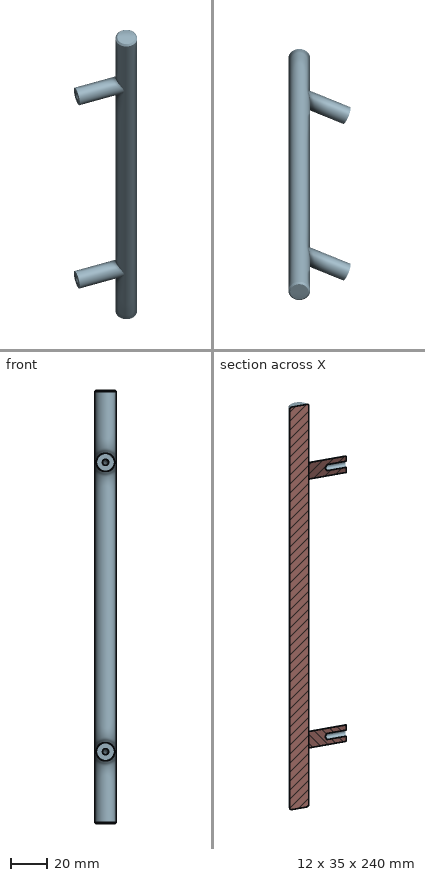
import cadquery as cq
import math

bar_length = 240.0
bar_diameter = 12.0
bar_end_chamfer = 1.0

post_diameter = 10.0
post_spacing = 160.0
overall_depth = 35.0
post_reach = overall_depth - bar_diameter / 2

screw_hole_diameter = 3.4
screw_hole_depth = 12.0
drill_point_angle = 118.0


def make_bar():
    """Round bar along Z, centred on the origin, chamfered at both ends."""
    bottom = cq.Workplane("XY", origin=(0, 0, -bar_length / 2))
    bar = bottom.circle(bar_diameter / 2).extrude(bar_length)
    return bar.faces("<Z or >Z").chamfer(bar_end_chamfer)


def make_screw_hole():
    """Drilled volume along +Y from the free end of a post at Z = 0."""
    radius = screw_hole_diameter / 2
    point_length = radius / math.tan(math.radians(drill_point_angle / 2))
    shoulder_y = screw_hole_depth - post_reach
    return (
        cq.Workplane("XY")
        .moveTo(0, -post_reach)
        .lineTo(radius, -post_reach)
        .lineTo(radius, shoulder_y)
        .lineTo(0, shoulder_y + point_length)
        .close()
        .revolve(360, (0, 0), (0, 1))
    )


def make_post(height, bar):
    """Post at the given height, its inner end shaped to sit against the bar."""
    post = cq.Workplane("XZ").circle(post_diameter / 2).extrude(post_reach)
    post = post.cut(make_screw_hole())
    return post.translate((0, 0, height)).cut(bar)


bar = make_bar()

posts = []
for side in (-1, 1):
    posts.append(make_post(side * post_spacing / 2, bar).solids().val())

result = cq.Compound.makeCompound([bar.solids().val(), *posts])